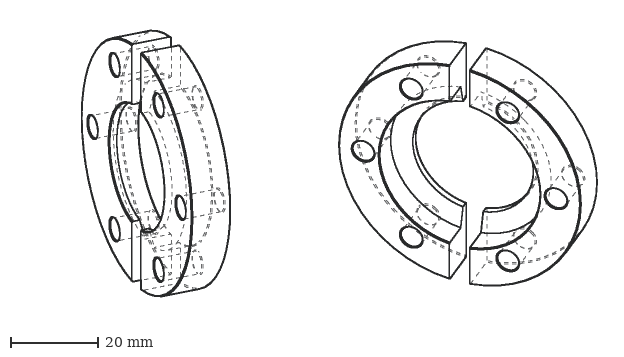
import cadquery as cq
import math

outer_radius = 30.15
thickness = 9.9
split_gap = 5.0
edge_chamfer = 0.25

lip_radius = 15.0
lip_length = 2.0
recess_radius = 19.95
shoulder_angle = 15.0

hole_count = 6
hole_diameter = 5.3
bolt_circle_radius = 24.0

front_y = -thickness / 2
back_y = thickness / 2
lip_end_y = front_y + lip_length
shoulder_length = (recess_radius - lip_radius) * math.tan(math.radians(shoulder_angle))
recess_start_y = lip_end_y + shoulder_length


def make_ring():
    """Full ring, revolved about Y from its (radius, Y) cross-section."""
    section = [
        (lip_radius + edge_chamfer, front_y),
        (outer_radius - edge_chamfer, front_y),
        (outer_radius, front_y + edge_chamfer),
        (outer_radius, back_y - edge_chamfer),
        (outer_radius - edge_chamfer, back_y),
        (recess_radius + edge_chamfer, back_y),
        (recess_radius, back_y - edge_chamfer),
        (recess_radius, recess_start_y),
        (lip_radius, lip_end_y),
        (lip_radius, front_y + edge_chamfer),
    ]
    return cq.Workplane("XY").polyline(section).close().revolve(360, (0, 0, 0), (0, 1, 0))


def make_hole_cutter():
    """Through hole along Y on the axis, with a chamfered mouth at each end."""
    hole_radius = hole_diameter / 2
    mouth_radius = hole_radius + edge_chamfer
    section = [
        (0, front_y),
        (mouth_radius, front_y),
        (hole_radius, front_y + edge_chamfer),
        (hole_radius, back_y - edge_chamfer),
        (mouth_radius, back_y),
        (0, back_y),
    ]
    return cq.Workplane("XY").polyline(section).close().revolve(360, (0, 0, 0), (0, 1, 0))


def cut_bolt_holes(ring):
    """Cut the bolt circle, starting with a hole on the X axis."""
    cutter = make_hole_cutter()
    for index in range(hole_count):
        angle = 2 * math.pi * index / hole_count
        x = bolt_circle_radius * math.cos(angle)
        z = bolt_circle_radius * math.sin(angle)
        ring = ring.cut(cutter.translate((x, 0, z)))
    return ring


def make_half_ring(side):
    """Half of the ring on the +X (side = 1) or -X (side = -1) side of the gap."""
    keep_width = outer_radius
    keep_height = 2 * outer_radius
    keep_centre_x = side * (split_gap + keep_width) / 2
    keep_box = cq.Workplane("XY").box(keep_width, thickness, keep_height).translate((keep_centre_x, 0, 0))
    return cut_bolt_holes(make_ring()).intersect(keep_box)


half_rings = [make_half_ring(side) for side in (-1, 1)]

result = cq.Compound.makeCompound([half_ring.val() for half_ring in half_rings])